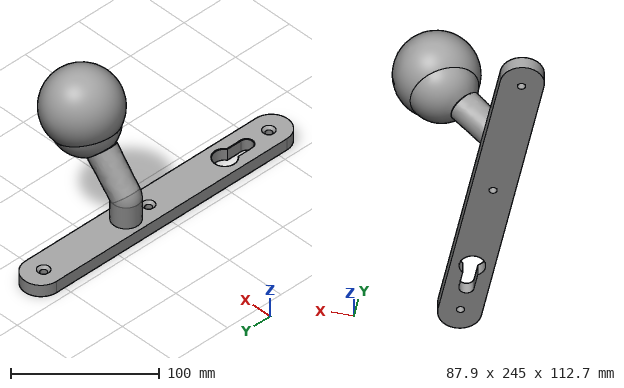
import cadquery as cq
import math

plate_length = 245.0
plate_width = 30.0
plate_thickness = 10.0

screw_hole_diameter = 5.5
countersink_diameter = 9.8
countersink_angle = 90
screw_hole_ys = (105.0, 7.0, -105.0)

keyhole_diameter = 18.0
keyhole_y = -64.0
keyhole_slot_width = 10.3
keyhole_slot_end_y = -84.3
keyhole_chamfer = 0.5

handle_y = 28.2
handle_diameter = 22.0
bend_z = 28.5
bend_radius = 2.2
bend_angle = 41.0
arm_length = 34.8
arm_end_depth = 25.0

ball_diameter = 60.0
ball_x = 42.9
overall_height = 112.7
collar_diameter = 50.0
collar_x = 39.5
collar_z = 71.8


def make_keyhole():
    slot_run = keyhole_y - keyhole_slot_end_y
    barrel = cq.Workplane("XY").center(0, keyhole_y).circle(keyhole_diameter / 2).extrude(plate_thickness)
    slot = (
        cq.Workplane("XY").center(0, keyhole_y - slot_run / 2)
        .slot2D(slot_run + keyhole_slot_width, keyhole_slot_width, 90)
        .extrude(plate_thickness)
    )
    return barrel.union(slot)


def make_plate():
    blank = cq.Workplane("XY").slot2D(plate_length, plate_width, 90).extrude(plate_thickness)
    plate = blank.cut(make_keyhole())
    keyhole_rim = plate.faces(">Z").val().innerWires()[0]
    plate = plate.newObject(keyhole_rim.Edges()).chamfer(keyhole_chamfer)
    return (
        plate.faces(">Z").workplane(origin=(0, 0, plate_thickness))
        .pushPoints([(0, y) for y in screw_hole_ys])
        .cskHole(screw_hole_diameter, countersink_diameter, countersink_angle)
    )


def make_handle():
    radius = handle_diameter / 2
    post = (
        cq.Workplane("XY", origin=(0, handle_y, plate_thickness))
        .circle(radius).extrude(bend_z - plate_thickness)
    )

    half_chord = math.sqrt(radius**2 - bend_radius**2)
    bend = (
        cq.Workplane("XY", origin=(bend_radius, handle_y, bend_z))
        .moveTo(0, -half_chord)
        .threePointArc((-radius - bend_radius, 0), (0, half_chord))
        .close()
        .revolve(bend_angle, (0, 0), (0, 1))
    )

    tilt = math.radians(bend_angle)
    arm_start = (
        bend_radius * (1 - math.cos(tilt)),
        handle_y,
        bend_z + bend_radius * math.sin(tilt),
    )
    arm_plane = cq.Plane(
        origin=arm_start,
        xDir=(math.cos(tilt), 0, -math.sin(tilt)),
        normal=(math.sin(tilt), 0, math.cos(tilt)),
    )
    arm = (
        cq.Workplane(arm_plane).ellipse(radius, radius)
        .workplane(offset=arm_length).ellipse(arm_end_depth / 2, radius)
        .loft()
    )
    return post.union(bend).union(arm)


def make_ball():
    ball_z = overall_height - ball_diameter / 2
    return cq.Workplane("XZ", origin=(ball_x, handle_y, ball_z)).sphere(ball_diameter / 2)


def make_collar(ball, handle):
    collar = cq.Workplane("XZ", origin=(collar_x, handle_y, collar_z)).sphere(collar_diameter / 2)
    return collar.cut(ball).cut(handle)


plate = make_plate()
handle = make_handle()
ball = make_ball()
collar = make_collar(ball, handle)
result = cq.Compound.makeCompound([plate.val(), handle.val(), ball.val(), collar.val()])